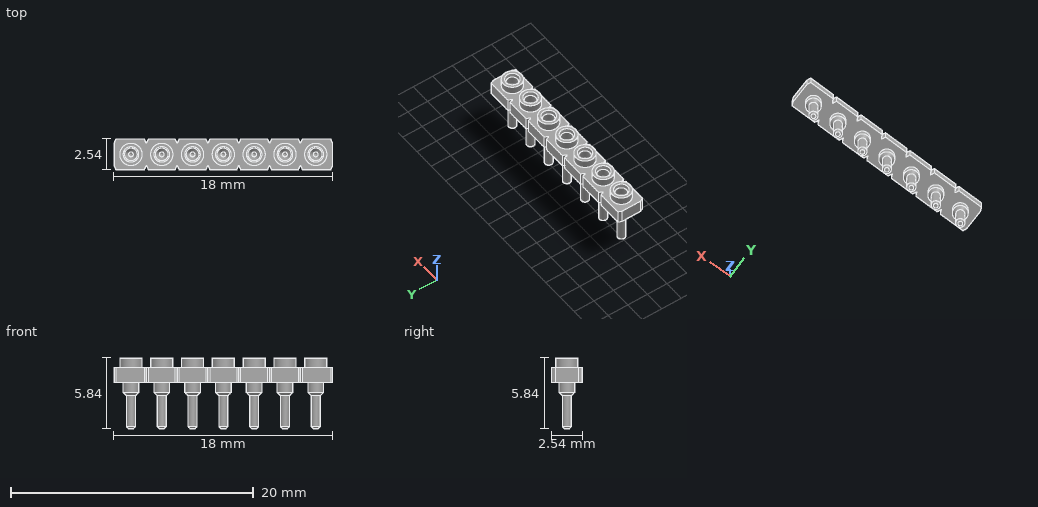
import cadquery as cq
import math

contact_count = 7
pitch = 2.54
strip_length = 18.01
strip_width = 2.54
strip_thickness = 1.26

notch_floor_width = 0.04
bevel_run = 0.15
notch_depth = 0.32

flange_diameter = 1.84
flange_height = 0.77
barrel_diameter = 1.31
barrel_drop = 0.8
pin_diameter = 0.75
shoulder_half_angle = 45.0
pin_tip_diameter = 0.4
pin_tip_height = 0.18
overall_height = 5.84

mouth_diameter = 1.28
mouth_depth = 0.32
bore_diameter = 1.05
bore_end_depth = 1.17
throat_diameter = 0.4
throat_half_angle = 13.0
drill_half_angle = 59.0

strip_bottom = 0.0
strip_top = strip_bottom + strip_thickness
flange_top = strip_top + flange_height
barrel_bottom = strip_bottom - barrel_drop
pin_bottom = flange_top - overall_height
pin_tip_top = pin_bottom + pin_tip_height
mouth_bottom = flange_top - mouth_depth
bore_bottom = flange_top - bore_end_depth


def cone_height(large_diameter, small_diameter, half_angle):
    """Height of a cone frustum whose side leans half_angle degrees from its axis."""
    return (large_diameter - small_diameter) / 2 / math.tan(math.radians(half_angle))


shoulder_bottom = barrel_bottom - cone_height(barrel_diameter, pin_diameter, shoulder_half_angle)
throat_bottom = bore_bottom - cone_height(bore_diameter, throat_diameter, throat_half_angle)
socket_bottom = throat_bottom - cone_height(throat_diameter, 0, drill_half_angle)

contact_positions = [(i - (contact_count - 1) / 2) * pitch for i in range(contact_count)]
notch_positions = [x + pitch / 2 for x in contact_positions[:-1]]


def make_strip():
    """Insulating strip with beveled ends, break notches and one hole per contact."""
    half_length = strip_length / 2
    half_width = strip_width / 2
    bevel_x = half_length - bevel_run
    bevel_y = half_width - notch_depth
    notch_half_width = notch_floor_width / 2 + bevel_run
    strip = (
        cq.Workplane("XY", origin=(0, 0, strip_bottom))
        .moveTo(-half_length, -bevel_y)
        .lineTo(-bevel_x, -half_width)
        .lineTo(bevel_x, -half_width)
        .lineTo(half_length, -bevel_y)
        .lineTo(half_length, bevel_y)
        .lineTo(bevel_x, half_width)
        .lineTo(-bevel_x, half_width)
        .lineTo(-half_length, bevel_y)
        .close()
        .extrude(strip_thickness)
    )
    for x in notch_positions:
        for side in (-1, 1):
            notch = (
                cq.Workplane("XY", origin=(x, 0, strip_bottom))
                .moveTo(-notch_half_width, side * half_width)
                .lineTo(notch_half_width, side * half_width)
                .lineTo(notch_floor_width / 2, side * bevel_y)
                .lineTo(-notch_floor_width / 2, side * bevel_y)
                .close()
                .extrude(strip_thickness)
            )
            strip = strip.cut(notch)
    holes = (
        cq.Workplane("XY", origin=(0, 0, strip_bottom))
        .pushPoints([(x, 0) for x in contact_positions])
        .circle(barrel_diameter / 2)
        .extrude(strip_thickness)
    )
    return strip.cut(holes)


def make_contact(x):
    """Turned socket contact centered at x, revolved from its half section of (radius, height) points."""
    half_section = [
        (0, pin_bottom),
        (pin_tip_diameter / 2, pin_bottom),
        (pin_diameter / 2, pin_tip_top),
        (pin_diameter / 2, shoulder_bottom),
        (barrel_diameter / 2, barrel_bottom),
        (barrel_diameter / 2, strip_top),
        (flange_diameter / 2, strip_top),
        (flange_diameter / 2, flange_top),
        (mouth_diameter / 2, flange_top),
        (bore_diameter / 2, mouth_bottom),
        (bore_diameter / 2, bore_bottom),
        (throat_diameter / 2, throat_bottom),
        (0, socket_bottom),
    ]
    contact = cq.Workplane("XZ").polyline(half_section).close().revolve(360, (0, 0, 0), (0, 1, 0))
    return contact.translate((x, 0, 0))


strip = make_strip()
contacts = [make_contact(x) for x in contact_positions]

result = cq.Compound.makeCompound([strip.val(), *[contact.val() for contact in contacts]])